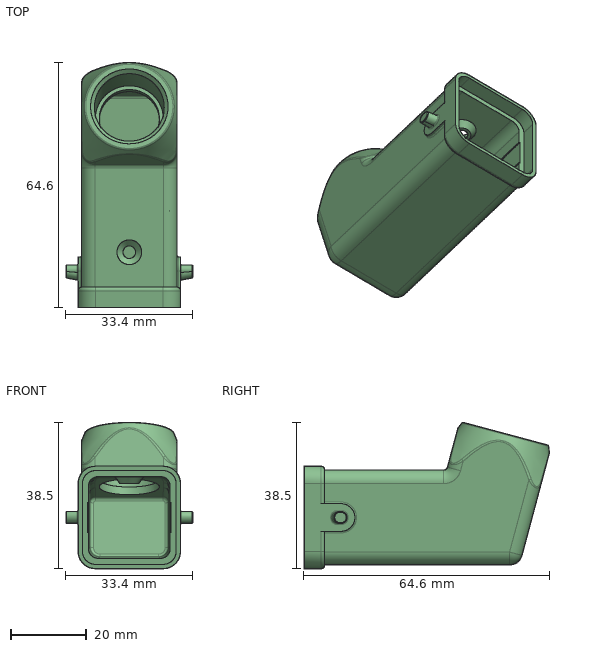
import cadquery as cq
import math

BODY_WIDTH = 25.2
BODY_HEIGHT = 25.0
BODY_RADIUS = 3.6
LOWER_RADIUS = 3.4
HALF_HEIGHT = BODY_HEIGHT / 2

FLANGE_SIZE = 27.0
FLANGE_RADIUS = 4.6
FLANGE_LENGTH = 5.4
FLANGE_BACK_FILLET = 0.95
RECESS_SIZE = 24.7
RECESS_RADIUS = 3.5
RECESS_DEPTH = 3.8

TILT = math.radians(15)
TOWER_Y = 52.98
TOWER_Z = 22.05
TOWER_DEPTH = 25.0
TOWER_FOOT_RADIUS = 1.0
CONE_TOP_RADIUS = 11.75
CONE_SLOPE = 0.4
CONE_HEIGHT = 12.0
CONE_TOP_FILLET = 0.4
CONE_SEAM_FILLET = 1.0
CONE_EDGE_CLEARANCE = 1.5

ENTRY_CHAMFER_DIAMETER = 20.4
ENTRY_DIAMETER = 18.4
ENTRY_BOTTOM_DIAMETER = 17.9
ENTRY_DEPTH = 12.4
ENTRY_CHAMFER = (ENTRY_CHAMFER_DIAMETER - ENTRY_DIAMETER) / 2
CEILING_DEPTH = 14.5
THROAT_DIAMETER = 15.85
THROAT_OVERRUN = 1.0

CAVITY_SIZE = 21.6
CAVITY_DRAFT = 0.5
CAVITY_RADIUS = 2.6
CEILING_FILLET = 1.4
CAVITY_END_FILLET = 0.9
BACK_WALL = 1.5

SCREW_Y = 14.6
SCREW_DIAMETER = 3.3
SINK_DIAMETER = 6.5
BORE_DEPTH = 1.65
BOSS_TIP_DIAMETER = 4.9
BOSS_ROOT_DIAMETER = 7.8
BOSS_DROP = 1.9

PIN_Y = 9.7
PIN_DIAMETER = 3.15
PIN_SPAN = 33.4
PIN_TIP_CHAMFER = 0.2
RAMP_TIP_SHIFT = 0.3
RAMP_ROOT_SHIFT = 0.9
PIN_ROOT_FILLET = 0.3
PAD_WIDTH = 7.3
PAD_ROOT_FILLET = 0.4

POCKET_WIDTH = 8.0
POCKET_SPAN = 22.0

TOLERANCE = 0.01

TOWER_PLANE = cq.Plane(
    origin=(0, TOWER_Y, TOWER_Z),
    xDir=(1, 0, 0),
    normal=(0, math.sin(TILT), math.cos(TILT)),
)


def tower_point(offset, depth):
    """(Y, Z) at an offset forward of the tower axis and a depth below the tower mouth."""
    y = TOWER_Y - offset * math.cos(TILT) - depth * math.sin(TILT)
    z = TOWER_Z + offset * math.sin(TILT) - depth * math.cos(TILT)
    return (y, z)


def tower_face_y(offset, z):
    """Y where the plane parallel to the tower axis at that offset meets height z."""
    return TOWER_Y - offset / math.cos(TILT) - (TOWER_Z - z) * math.tan(TILT)


def ceiling_y(z):
    """Y where the sloping ceiling below the cable entry reaches height z."""
    y0, z0 = tower_point(0, CEILING_DEPTH)
    return y0 + (z0 - z) / math.tan(TILT)


def square_prism(size, radius, length):
    prism = cq.Workplane("XZ").rect(size, size).extrude(-length)
    return prism.edges("|Y").fillet(radius)


def turned(profile):
    """Solid of revolution about the tower axis from (radius, height) points."""
    plane = cq.Plane(TOWER_PLANE.origin, TOWER_PLANE.xDir, -TOWER_PLANE.yDir)
    return cq.Workplane(plane).polyline(profile).close().revolve(360, (0, 0), (0, 1))


def cone_trim():
    """Ring that trims the square tower to a cone near its mouth."""
    foot_radius = CONE_TOP_RADIUS + CONE_SLOPE * CONE_HEIGHT
    rim_radius = foot_radius + CONE_EDGE_CLEARANCE
    return turned([
        (CONE_TOP_RADIUS, 0),
        (foot_radius, -CONE_HEIGHT),
        (rim_radius, -CONE_HEIGHT),
        (rim_radius, 0),
    ])


def edges_near(solid, points):
    """The edges of the solid whose centres lie nearest to the given points."""
    picked = [solid.edges(cq.NearestToPointSelector(point)).val() for point in points]
    return solid.newObject(picked)


def body():
    half_width = BODY_WIDTH / 2
    half_depth = TOWER_DEPTH / 2
    foot = (tower_face_y(half_depth, HALF_HEIGHT), HALF_HEIGHT)
    heel = (tower_face_y(-half_depth, -HALF_HEIGHT), -HALF_HEIGHT)
    back_top = tower_point(-half_depth, 0)
    outline = [
        (0, -HALF_HEIGHT),
        heel,
        back_top,
        tower_point(half_depth, 0),
        foot,
        (0, HALF_HEIGHT),
    ]
    solid = cq.Workplane("YZ").polyline(outline).close().extrude(half_width, both=True)
    solid = edges_near(solid, [(0, *foot)]).fillet(TOWER_FOOT_RADIUS)

    sides = (-half_width, half_width)
    solid = edges_near(solid, [(x, foot[0] / 2, HALF_HEIGHT) for x in sides]).fillet(BODY_RADIUS)

    back_middle = ((heel[0] + back_top[0]) / 2, (heel[1] + back_top[1]) / 2)
    lower_edges = [(0, *heel)]
    for x in sides:
        lower_edges.append((x, heel[0] / 2, -HALF_HEIGHT))
        lower_edges.append((x, *back_middle))
    solid = edges_near(solid, lower_edges).fillet(LOWER_RADIUS)

    solid = solid.cut(cone_trim())
    seam = solid.faces("%CONE").edges("not %LINE").filter(lambda edge: not is_mouth_edge(edge))
    solid = seam.fillet(CONE_SEAM_FILLET)
    mouth = solid.faces(cq.NearestToPointSelector((0, TOWER_Y, TOWER_Z)))
    return mouth.edges().fillet(CONE_TOP_FILLET)


def is_mouth_edge(edge):
    """True for edges lying in the plane of the tower mouth."""
    height = TOWER_PLANE.toLocalCoords(edge.Center()).z
    return abs(height) < TOLERANCE


def flange():
    solid = square_prism(FLANGE_SIZE, FLANGE_RADIUS, FLANGE_LENGTH)
    return solid.faces(">Y").edges().fillet(FLANGE_BACK_FILLET)


def u_pad(width, inner_x, outer_x):
    """Block on the +X side running from the open end to a round end about the pin."""
    outline = (
        cq.Workplane("YZ", origin=(inner_x, 0, 0))
        .moveTo(0, -width / 2)
        .lineTo(PIN_Y, -width / 2)
        .threePointArc((PIN_Y + width / 2, 0), (PIN_Y, width / 2))
        .lineTo(0, width / 2)
        .close()
    )
    return outline.extrude(outer_x - inner_x)


def pin():
    """Pin on the +X side, a straight cylinder with a ramp towards the open end."""
    root_x = FLANGE_SIZE / 2
    tip_x = PIN_SPAN / 2
    radius = PIN_DIAMETER / 2
    straight = cq.Workplane("YZ", origin=(BODY_WIDTH / 2, PIN_Y, 0)).circle(radius)
    straight = straight.extrude(tip_x - BODY_WIDTH / 2).faces(">X").chamfer(PIN_TIP_CHAMFER)
    ramp = (
        cq.Workplane("YZ", origin=(root_x, PIN_Y, 0))
        .center(-RAMP_ROOT_SHIFT, 0)
        .circle(radius)
        .workplane(offset=tip_x - root_x)
        .center(RAMP_ROOT_SHIFT - RAMP_TIP_SHIFT, 0)
        .circle(radius)
        .loft()
        .faces(">X")
        .chamfer(PIN_TIP_CHAMFER)
    )
    return straight.union(ramp)


def both_sides(solid):
    return solid.union(solid.mirror("YZ"))


def cavity():
    half = CAVITY_SIZE / 2
    wall_offset = BACK_WALL - TOWER_DEPTH / 2
    rear_top = tower_point(wall_offset, CEILING_DEPTH)
    outline = [
        (0, -half),
        (tower_face_y(wall_offset, -half), -half),
        rear_top,
        (ceiling_y(half), half),
        (0, half),
    ]
    side = cq.Workplane("YZ").polyline(outline).close().extrude(half, both=True)
    tunnel = cq.Workplane("XZ").rect(CAVITY_SIZE, CAVITY_SIZE)
    solid = tunnel.extrude(-rear_top[0], taper=CAVITY_DRAFT).intersect(side)
    solid = solid.faces("<Z or >Z").edges("not |X").fillet(CAVITY_RADIUS)
    ceiling = solid.faces(cq.NearestToPointSelector((0, *tower_point(0, CEILING_DEPTH))))
    long_edges = ceiling.edges("not |X").filter(lambda edge: edge.Length() > half)
    solid = long_edges.fillet(CEILING_FILLET)
    wall_middle = tower_point(wall_offset, (CEILING_DEPTH + TOWER_Z + half) / 2)
    back = solid.faces(cq.NearestToPointSelector((0, *wall_middle)))
    return back.edges().fillet(CAVITY_END_FILLET)


def cable_entry():
    bottom_radius = ENTRY_BOTTOM_DIAMETER / 2
    throat_radius = THROAT_DIAMETER / 2
    throat_depth = CEILING_DEPTH + THROAT_OVERRUN
    return turned([
        (0, 0),
        (ENTRY_CHAMFER_DIAMETER / 2, 0),
        (ENTRY_DIAMETER / 2, -ENTRY_CHAMFER),
        (bottom_radius, -ENTRY_DEPTH),
        (throat_radius, -ENTRY_DEPTH),
        (throat_radius, -throat_depth),
        (0, -throat_depth),
    ])


def screw_turned(profile):
    """Solid of revolution about the vertical screw axis from (radius, Z) points."""
    origin = (0, SCREW_Y, 0)
    return cq.Workplane("XZ", origin=origin).polyline(profile).close().revolve(360, (0, 0), (0, 1))


def screw_boss():
    ceiling = CAVITY_SIZE / 2
    tip = ceiling - BOSS_DROP
    return screw_turned([
        (0, tip),
        (BOSS_TIP_DIAMETER / 2, tip),
        (BOSS_ROOT_DIAMETER / 2, ceiling),
        (0, ceiling),
    ])


def screw_hole():
    sink_top = HALF_HEIGHT - BORE_DEPTH
    sink_bottom = sink_top - (SINK_DIAMETER - SCREW_DIAMETER) / 2
    bottom = CAVITY_SIZE / 2 - BOSS_DROP
    return screw_turned([
        (0, bottom),
        (SCREW_DIAMETER / 2, bottom),
        (SCREW_DIAMETER / 2, sink_bottom),
        (SINK_DIAMETER / 2, sink_top),
        (SINK_DIAMETER / 2, HALF_HEIGHT),
        (0, HALF_HEIGHT),
    ])


def fillet_side_edges(solid, x, y_range, half_height, radius):
    """Fillet the edges lying in the planes at -x and +x, inside a window about Z = 0."""
    for plane_x in (-x, x):
        window = cq.selectors.BoxSelector(
            (plane_x - TOLERANCE, y_range[0], -half_height),
            (plane_x + TOLERANCE, y_range[1], half_height),
        )
        solid = solid.edges(window).fillet(radius)
    return solid


def shell_with_pads():
    solid = body().union(both_sides(u_pad(PAD_WIDTH, CAVITY_SIZE / 2, FLANGE_SIZE / 2)))
    y_range = (TOLERANCE, PIN_Y + PAD_WIDTH)
    half_height = PAD_WIDTH / 2 + TOLERANCE
    return fillet_side_edges(solid, BODY_WIDTH / 2, y_range, half_height, PAD_ROOT_FILLET)


def add_pins(solid):
    solid = solid.union(both_sides(pin()))
    radius = PIN_DIAMETER / 2
    y_range = (PIN_Y - RAMP_ROOT_SHIFT - radius, PIN_Y + radius)
    return fillet_side_edges(solid, FLANGE_SIZE / 2, y_range, radius, PIN_ROOT_FILLET)


result = add_pins(shell_with_pads().union(flange()))
result = result.cut(cavity())
result = result.cut(both_sides(u_pad(POCKET_WIDTH, 0, POCKET_SPAN / 2)))
result = result.cut(square_prism(RECESS_SIZE, RECESS_RADIUS, RECESS_DEPTH))
result = result.cut(cable_entry())
result = result.union(screw_boss()).cut(screw_hole())